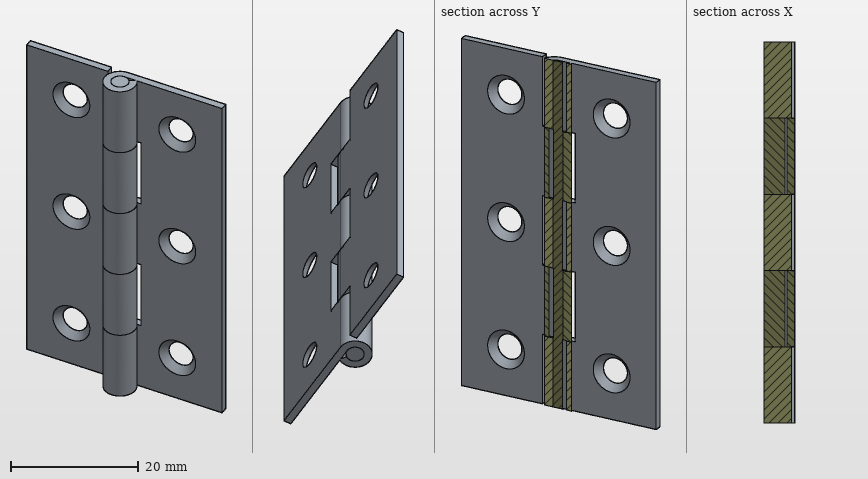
import cadquery as cq
import math

hinge_height = 60.0
hinge_width = 35.0
leaf_thickness = 1.25
half_width = hinge_width / 2

barrel_radius = 2.7
pin_radius = barrel_radius - leaf_thickness
roll_end_angle = math.radians(37.0)

knuckle_count = 5
knuckle_height = hinge_height / knuckle_count
notch_reach = 2.95

screw_offset = 9.5
screw_pitch = 22.0
screw_hole_diameter = 4.25
countersink_diameter = 6.6

leaf_back = barrel_radius
leaf_front = leaf_back - leaf_thickness


def make_plate():
    """Flat part of the right leaf, ending clear of the barrel."""
    return cq.Workplane("XY").box(
        half_width - notch_reach, leaf_thickness, hinge_height, centered=False
    ).translate((notch_reach, leaf_front, 0))


def make_knuckle(index):
    """Rolled knuckle with the tangent strip that joins it to the plate."""
    base = cq.Workplane("XY").workplane(offset=index * knuckle_height)
    barrel = base.circle(barrel_radius).extrude(knuckle_height)
    strip = (
        base.moveTo(0, leaf_front)
        .rect(notch_reach, leaf_thickness, centered=False)
        .extrude(knuckle_height)
    )
    bore = base.circle(pin_radius).extrude(knuckle_height)
    roll_gap = (
        base.polyline([(0, 0), (leaf_front / math.tan(roll_end_angle), leaf_front), (0, leaf_front)])
        .close()
        .extrude(knuckle_height)
    )
    return barrel.union(strip).cut(bore).cut(roll_gap)


def make_screw_hole(height):
    """Cone through the full leaf thickness, wide at the front face."""
    cone = cq.Solid.makeCone(
        countersink_diameter / 2,
        screw_hole_diameter / 2,
        leaf_thickness,
        pnt=cq.Vector(screw_offset, leaf_front, height),
        dir=cq.Vector(0, 1, 0),
    )
    return cq.Workplane(obj=cone)


def make_leaf(first_knuckle):
    """Right-hand leaf carrying every second knuckle from first_knuckle up."""
    leaf = make_plate()
    for index in range(first_knuckle, knuckle_count, 2):
        leaf = leaf.union(make_knuckle(index))
    for row in (-1, 0, 1):
        leaf = leaf.cut(make_screw_hole(hinge_height / 2 + row * screw_pitch))
    return leaf


def make_pin():
    """Plain pin, flush with both ends of the barrel."""
    return cq.Workplane("XY").circle(pin_radius).extrude(hinge_height)


right_leaf = make_leaf(first_knuckle=0)
left_leaf = make_leaf(first_knuckle=1).mirror("YZ")
pin = make_pin()

result = cq.Compound.makeCompound([right_leaf.val(), left_leaf.val(), pin.val()])